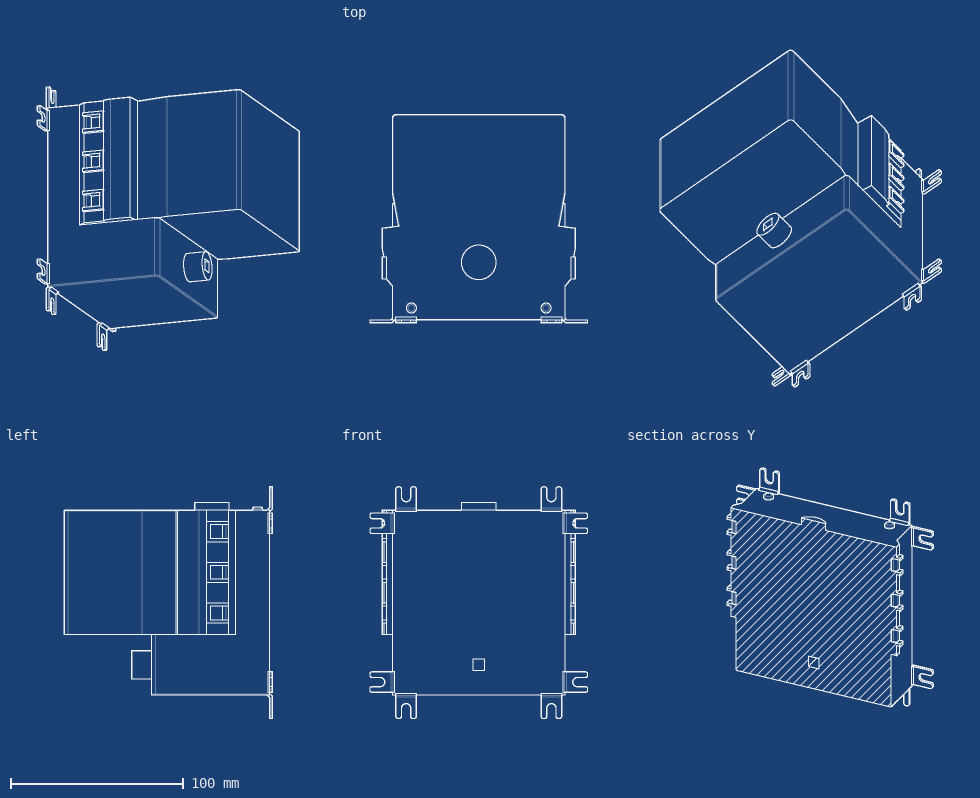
import cadquery as cq
import math

BODY_WIDTH = 100.0
BODY_HEIGHT = 107.0
BODY_DEPTH = 118.8
HALF_WIDTH = BODY_WIDTH / 2
EDGE_RADIUS = 2.4

LOWER_DEPTH = 68.3
LOWER_EDGE_RADIUS = 0.6

UPPER_HEIGHT = 72.0
UPPER_BOTTOM = BODY_HEIGHT - UPPER_HEIGHT
UPPER_EDGE_RADIUS = 0.5
TAPER_START_Y = 73.6
WAIST_Y = 54.2
WAIST_HALF_WIDTH = 46.4

TERMINAL_HALF_WIDTH = 55.8
SHOULDER_Y = 53.1
SLANT_START_Y = 40.9
SLANT_END_HALF_WIDTH = 54.9
RECESS_HALF_WIDTH = 53.3
RECESS_BACK_Y = 36.4
RECESS_FRONT_Y = 23.6
TERMINAL_FRONT_Y = 19.6

FRAME_COUNT = 3
FRAME_PITCH = 23.5
FRAME_HEIGHT = 11.7
FIRST_FRAME_TOP = BODY_HEIGHT - 6.7
OPENING_HEIGHT = 8.0
OPENING_TOP_MARGIN = 1.7
OPENING_BACK_Y = 34.2
POCKET_FLOOR_HALF_WIDTH = 50.0
POCKET_LIP = 1.6
POCKET_LIP_RADIUS = 2.0

TAB_THICKNESS = 1.7
TAB_WIDTH = 12.0
TAB_TIP_RADIUS = 1.4
TAB_BEND_RADIUS = 1.3
TAB_BEND_ANGLE = math.radians(52)
TAB_FLAT_LENGTH = 12.4
TAB_ROOT_DEPTH = 1.5
SLOT_WIDTH = 5.2
SLOT_DEPTH = 8.6
SIDE_TAB_REACH = 13.005
END_TAB_REACH = 13.505
SIDE_TAB_INSET = 7.6
END_TAB_X = 42.0

BUTTON_DIAMETER = 20.0
BUTTON_HEIGHT = 4.5
BUTTON_Y = 33.3
SCREW_DIAMETER = 5.8
SCREW_HEIGHT = 1.8
SCREW_EDGE_RADIUS = 1.0
SCREW_X = 38.9
SCREW_Y = 6.9
KNOB_DIAMETER = 16.5
KNOB_LENGTH = 11.4
SHAFT_Z = 17.55
SHAFT_HOLE_SIZE = 6.5


def mirrored(points):
    """Left-hand outline points followed by their mirror images, making a closed loop."""
    return points + [(-x, y) for x, y in reversed(points)]


def prism(points, bottom, height):
    """Upright prism on an XY outline."""
    return cq.Workplane("XY").workplane(offset=bottom).polyline(points).close().extrude(height)


def box(x_range, y_range, z_range):
    """Box spanning the given ranges."""
    size = [high - low for low, high in (x_range, y_range, z_range)]
    corner = cq.Vector(x_range[0], y_range[0], z_range[0])
    return cq.Workplane(cq.Solid.makeBox(*size, corner))


def both_sides(shape):
    """A left-hand shape together with its mirror image."""
    return shape.union(shape.mirror("YZ"))


def make_lower_box():
    lower = box((-HALF_WIDTH, HALF_WIDTH), (0, LOWER_DEPTH), (0, UPPER_BOTTOM))
    lower = lower.edges("|Z and >Y").fillet(EDGE_RADIUS)
    return lower.faces("<Z").edges("not <Y").fillet(LOWER_EDGE_RADIUS)


def make_upper_block():
    """Tapered housing behind the waist."""
    outline = mirrored([
        (-WAIST_HALF_WIDTH, WAIST_Y),
        (-HALF_WIDTH, TAPER_START_Y),
        (-HALF_WIDTH, BODY_DEPTH),
    ])
    block = prism(outline, UPPER_BOTTOM, UPPER_HEIGHT)
    block = block.edges("|Z and >Y").fillet(EDGE_RADIUS)
    return block.faces(">Z").edges("not <Y").fillet(UPPER_EDGE_RADIUS)


def make_terminal_block():
    """Front part of the upper half, widened by the two terminal rows."""
    outline = mirrored([
        (-HALF_WIDTH, 0),
        (-HALF_WIDTH, TERMINAL_FRONT_Y),
        (-RECESS_HALF_WIDTH, RECESS_FRONT_Y),
        (-RECESS_HALF_WIDTH, RECESS_BACK_Y),
        (-SLANT_END_HALF_WIDTH, RECESS_BACK_Y),
        (-TERMINAL_HALF_WIDTH, SLANT_START_Y),
        (-TERMINAL_HALF_WIDTH, SHOULDER_Y),
        (-WAIST_HALF_WIDTH, WAIST_Y),
    ])
    return prism(outline, UPPER_BOTTOM, UPPER_HEIGHT)


def make_frame(top):
    """Frame around one terminal, open towards the front of the part."""
    opening_top = top - OPENING_TOP_MARGIN
    x_range = (-TERMINAL_HALF_WIDTH, -RECESS_HALF_WIDTH)
    frame = box(x_range, (RECESS_FRONT_Y, RECESS_BACK_Y), (top - FRAME_HEIGHT, top))
    opening = box(x_range, (RECESS_FRONT_Y, OPENING_BACK_Y), (opening_top - OPENING_HEIGHT, opening_top))
    return frame.cut(opening)


def make_pocket(top):
    """Pocket behind one frame, with a rounded lip at its front."""
    lip_y = RECESS_FRONT_Y + POCKET_LIP
    wall_y = lip_y + POCKET_LIP_RADIUS
    wall_x = -RECESS_HALF_WIDTH + POCKET_LIP_RADIUS
    arc_offset = POCKET_LIP_RADIUS * math.sqrt(0.5)
    return (
        cq.Workplane("XY")
        .workplane(offset=top - OPENING_TOP_MARGIN - OPENING_HEIGHT)
        .moveTo(-RECESS_HALF_WIDTH, lip_y)
        .threePointArc((wall_x - arc_offset, lip_y + arc_offset), (wall_x, wall_y))
        .lineTo(-POCKET_FLOOR_HALF_WIDTH, wall_y)
        .lineTo(-POCKET_FLOOR_HALF_WIDTH, OPENING_BACK_Y)
        .lineTo(-RECESS_HALF_WIDTH, OPENING_BACK_Y)
        .close()
        .extrude(OPENING_HEIGHT)
    )


def make_tab():
    """Tab pointing along +X with its tip at X = 0 and its width centred on Z = 0."""
    bend_x = -TAB_FLAT_LENGTH
    centre_y = TAB_BEND_RADIUS - TAB_THICKNESS
    sine = math.sin(TAB_BEND_ANGLE)
    cosine = math.cos(TAB_BEND_ANGLE)

    def on_bend(angle):
        return (
            bend_x - TAB_BEND_RADIUS * math.sin(angle),
            centre_y - TAB_BEND_RADIUS * math.cos(angle),
        )

    leg_start = on_bend(TAB_BEND_ANGLE)
    leg_length = (TAB_ROOT_DEPTH - leg_start[1]) / sine
    leg_end = (leg_start[0] - leg_length * cosine, TAB_ROOT_DEPTH)
    leg_back_end = (leg_end[0] + TAB_THICKNESS * sine, leg_end[1] + TAB_THICKNESS * cosine)
    back_corner_x = leg_back_end[0] + leg_back_end[1] * cosine / sine
    strip = (
        cq.Workplane("XY")
        .workplane(offset=-TAB_WIDTH / 2)
        .moveTo(0, -TAB_THICKNESS)
        .lineTo(bend_x, -TAB_THICKNESS)
        .threePointArc(on_bend(TAB_BEND_ANGLE / 2), leg_start)
        .lineTo(*leg_end)
        .lineTo(*leg_back_end)
        .lineTo(back_corner_x, 0)
        .lineTo(0, 0)
        .close()
        .extrude(TAB_WIDTH)
    )
    slot_radius = SLOT_WIDTH / 2
    slot = (
        cq.Workplane("XZ")
        .moveTo(0, slot_radius)
        .lineTo(slot_radius - SLOT_DEPTH, slot_radius)
        .threePointArc((-SLOT_DEPTH, 0), (slot_radius - SLOT_DEPTH, -slot_radius))
        .lineTo(0, -slot_radius)
        .close()
        .extrude(TAB_THICKNESS)
    )
    return strip.cut(slot).edges("|Y and >X").fillet(TAB_TIP_RADIUS)


def make_all_tabs():
    """Two tabs on each of the four edges of the front face."""
    tab = make_tab()
    left_tab = tab.mirror("YZ")
    side_tip_x = HALF_WIDTH + SIDE_TAB_REACH
    tabs = []
    for z in (SIDE_TAB_INSET, BODY_HEIGHT - SIDE_TAB_INSET):
        tabs.append(tab.translate((side_tip_x, 0, z)))
        tabs.append(left_tab.translate((-side_tip_x, 0, z)))
    upward_tab = tab.rotate((0, 0, 0), (0, 1, 0), -90)
    downward_tab = tab.rotate((0, 0, 0), (0, 1, 0), 90)
    for x in (-END_TAB_X, END_TAB_X):
        tabs.append(upward_tab.translate((x, 0, BODY_HEIGHT + END_TAB_REACH)))
        tabs.append(downward_tab.translate((x, 0, -END_TAB_REACH)))
    return tabs


def make_screw():
    screw = cq.Workplane("XY").circle(SCREW_DIAMETER / 2).extrude(SCREW_HEIGHT)
    screw = screw.faces(">Z").edges().fillet(SCREW_EDGE_RADIUS)
    return screw.translate((-SCREW_X, SCREW_Y, BODY_HEIGHT))


def make_button():
    button = cq.Workplane("XY").circle(BUTTON_DIAMETER / 2).extrude(BUTTON_HEIGHT)
    return button.translate((0, BUTTON_Y, BODY_HEIGHT))


def make_knob():
    knob = cq.Workplane("XZ").circle(KNOB_DIAMETER / 2).extrude(-KNOB_LENGTH)
    return knob.translate((0, LOWER_DEPTH, SHAFT_Z))


def make_shaft_hole():
    """Square hole from the front face through the knob."""
    hole_length = LOWER_DEPTH + KNOB_LENGTH
    hole = cq.Workplane("XZ").rect(SHAFT_HOLE_SIZE, SHAFT_HOLE_SIZE).extrude(-hole_length)
    return hole.translate((0, 0, SHAFT_Z))


body = make_lower_box().union(make_terminal_block()).union(make_upper_block())
for index in range(FRAME_COUNT):
    frame_top = FIRST_FRAME_TOP - index * FRAME_PITCH
    body = body.union(both_sides(make_frame(frame_top)))
    body = body.cut(both_sides(make_pocket(frame_top)))
for mounting_tab in make_all_tabs():
    body = body.union(mounting_tab)
body = body.union(both_sides(make_screw())).union(make_button()).union(make_knob())

result = body.cut(make_shaft_hole())